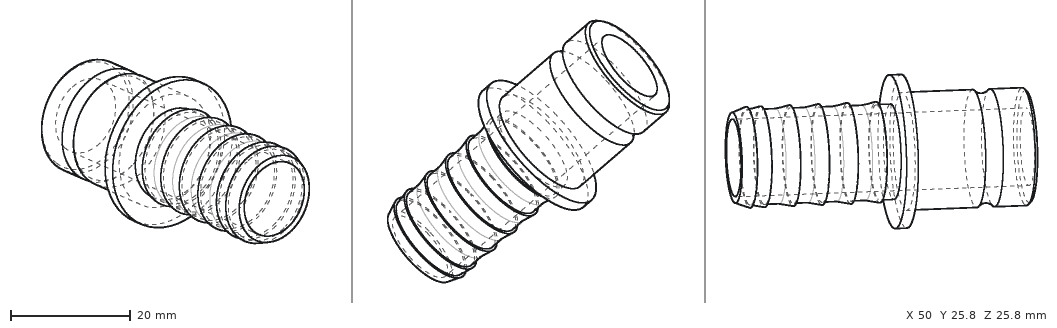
import cadquery as cq
import math

total_length = 50.0
bore_radius = 6.5

plug_radius = 9.9
plug_chamfer = 0.5
groove_center = 7.45
groove_width = 3.0
groove_arc_radius = 2.0

flange_start = 21.0
flange_thickness = 2.0
flange_radius = 12.9

barb_count = 5
stem_radius = 8.0
barb_radius = 8.5
tip_radius = 7.6

flange_end = flange_start + flange_thickness
groove_start = groove_center - groove_width / 2
groove_end = groove_center + groove_width / 2
groove_depth = groove_arc_radius - math.sqrt(groove_arc_radius**2 - (groove_width / 2) ** 2)
stem_step = (total_length - flange_end) / (2 * barb_count + 1)


def add_plug(profile):
    """Chamfered plug with a rounded groove, up to the flange face."""
    return (
        profile.lineTo(0, plug_radius - plug_chamfer)
        .lineTo(plug_chamfer, plug_radius)
        .lineTo(groove_start, plug_radius)
        .threePointArc((groove_center, plug_radius - groove_depth), (groove_end, plug_radius))
        .lineTo(flange_start, plug_radius)
    )


def add_flange(profile):
    """Flat round stop flange, down to the hose stem."""
    return (
        profile.lineTo(flange_start, flange_radius)
        .lineTo(flange_end, flange_radius)
        .lineTo(flange_end, stem_radius)
    )


def add_barbed_stem(profile):
    """Barbs that slope down to the stem away from the flange, then the tapered tip."""
    for index in range(barb_count):
        barb_start = flange_end + (2 * index + 1) * stem_step
        profile = (
            profile.lineTo(barb_start, stem_radius)
            .lineTo(barb_start, barb_radius)
            .lineTo(barb_start + stem_step, stem_radius)
        )
    return profile.lineTo(total_length - stem_step, barb_radius).lineTo(total_length, tip_radius)


half_section = cq.Workplane("XY").moveTo(0, bore_radius)
half_section = add_plug(half_section)
half_section = add_flange(half_section)
half_section = add_barbed_stem(half_section)
half_section = half_section.lineTo(total_length, bore_radius).close()

result = half_section.revolve(360, (0, 0, 0), (1, 0, 0))